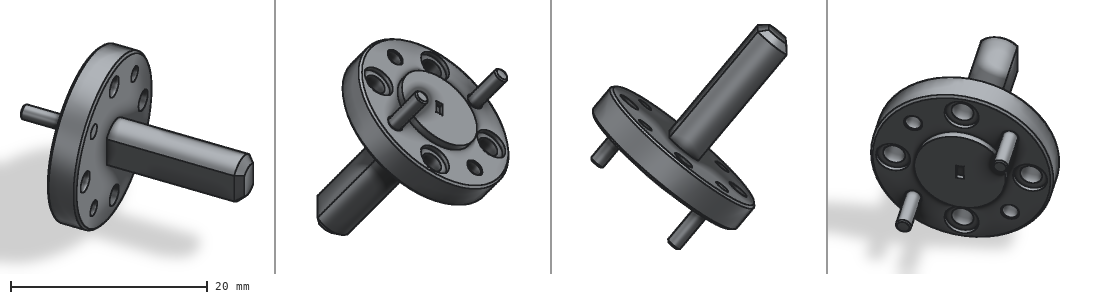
import cadquery as cq
import math

flange_dia = 19.05
flange_thickness = 3.25
flange_chamfer = 0.25
boss_dia = 9.525
boss_height = 0.76

rod_dia = 5.08
rod_width = 3.8
rod_tip_chamfer = 0.8
overall_length = 22.92

window_width = 0.826
window_height = 1.651
window_depth = 0.5

bolt_circle_dia = 14.288
screw_hole_dia = 2.3
screw_hole_angles = (0, 90, 180, 270)
counterbore_dia = 3.57
counterbore_depth = 0.5
alignment_hole_dia = 1.7
hole_mouth_chamfer = 0.12

pin_dia = 1.6
pin_projection = 4.63
pin_tip_chamfer = 0.16
pin_angles = (135, 315)
free_hole_angles = (45, 225)

flange_front = 0
flange_back = flange_front + flange_thickness
boss_face = flange_front - boss_height
pin_tip = flange_front - pin_projection
rod_tip = pin_tip + overall_length


def cylinder_along_x(diameter, x_start, x_end, y=0, z=0):
    """Solid cylinder parallel to X."""
    plane = cq.Workplane("YZ", origin=(x_start, y, z))
    return plane.circle(diameter / 2).extrude(x_end - x_start)


def on_bolt_circle(angle):
    """Y and Z of a bolt-circle point, with the angle measured from +Y towards +Z."""
    radius = bolt_circle_dia / 2
    y = radius * math.cos(math.radians(angle))
    z = radius * math.sin(math.radians(angle))
    return y, z


def make_load_rod():
    """Flatted round rod with a chamfer all around its tip."""
    rod = cylinder_along_x(rod_dia, flange_front, rod_tip).faces(">X").chamfer(rod_tip_chamfer)
    flats = cq.Workplane("YZ").rect(rod_width, rod_dia).extrude(rod_tip)
    flats = flats.faces(">X").edges("|Z").chamfer(rod_tip_chamfer)
    return rod.intersect(flats)


def counterbored_hole(angle):
    """Cutter for a through screw hole, counterbored from the -X face."""
    y, z = on_bolt_circle(angle)
    bore = cylinder_along_x(screw_hole_dia, flange_front, flange_back, y, z)
    counterbore = cylinder_along_x(counterbore_dia, flange_front, flange_front + counterbore_depth, y, z)
    return bore.union(counterbore)


def chamfered_hole(diameter, angle):
    """Cutter for a through hole with a chamfered mouth on the -X face."""
    y, z = on_bolt_circle(angle)
    bore = cylinder_along_x(diameter, flange_front, flange_back, y, z)
    mouth = cq.Solid.makeCone(
        diameter / 2 + hole_mouth_chamfer,
        diameter / 2,
        hole_mouth_chamfer,
        pnt=cq.Vector(flange_front, y, z),
        dir=cq.Vector(1, 0, 0),
    )
    return bore.union(cq.Workplane(mouth))


def make_flange():
    """Flange, boss and load rod in one piece, with all their holes."""
    disc = cylinder_along_x(flange_dia, flange_front, flange_back).edges("%CIRCLE").chamfer(flange_chamfer)
    boss = cylinder_along_x(boss_dia, boss_face, flange_back)
    body = disc.union(boss).union(make_load_rod())

    window = cq.Workplane("YZ", origin=(boss_face, 0, 0))
    body = body.cut(window.rect(window_width, window_height).extrude(window_depth))

    for angle in screw_hole_angles:
        body = body.cut(counterbored_hole(angle))
    for angle in free_hole_angles:
        body = body.cut(chamfered_hole(alignment_hole_dia, angle))
    for angle in pin_angles:
        body = body.cut(chamfered_hole(pin_dia, angle))
    return body


def make_pin(angle):
    """Alignment pin with a chamfered tip."""
    y, z = on_bolt_circle(angle)
    return cylinder_along_x(pin_dia, pin_tip, flange_back, y, z).faces("<X").chamfer(pin_tip_chamfer)


flange = make_flange()
pins = [make_pin(angle) for angle in pin_angles]

result = cq.Compound.makeCompound([flange.val(), *[pin.val() for pin in pins]])